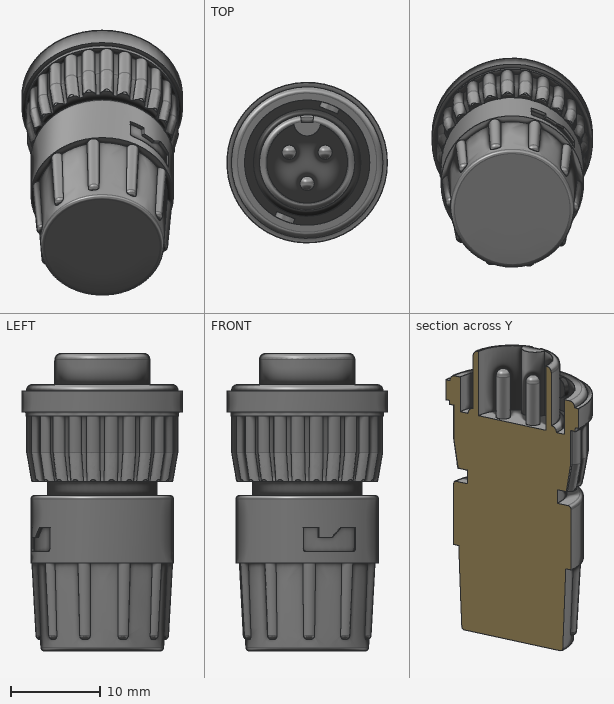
import cadquery as cq
import math

total_height = 33.4
overlap = 0.3

grip_top = 9.85
grip_bottom_radius = 6.88
grip_top_radius = 7.3
grip_bottom_fillet = 0.4
grip_rib_count = 10
grip_rib_first_angle = -88.2
grip_rib_top_axis_radius = 7.17
grip_rib_top_radius = 0.73
grip_rib_bottom_axis_radius = 6.8
grip_rib_bottom_radius = 0.62
grip_rib_bottom = 1.27
grip_rib_end_fillet = 0.48

sleeve_top = 17.45
sleeve_radius = 8.0
sleeve_top_fillet = 0.4
mark_angles = (-70.2, 109.8)
mark_width = 6.2
mark_bottom = 11.15
mark_top = 13.85
mark_depth = 0.35
mark_tab_bottom = 12.73
mark_left_land = 1.7
mark_tab_bottom_width = 1.5
mark_tab_top_width = 2.6
mark_corner_fillet = 0.35

neck_radius = 6.15

ring_bottom = 19.0
knurl_taper_top = 22.3
knurl_top = 26.35
flange_bottom = 26.8
flange_top = 29.2
ring_top = 29.9
flange_radius = 9.015
collar_radius = 8.6
ring_lip_radius = 8.5
ring_top_fillet = 0.69
ring_bore_radius = 7.03
ring_bore_floor = 25.8
knurl_count = 24
knurl_lobe_radius = 0.78
knurl_outer_radius = 8.55
knurl_bottom_outer_radius = 7.97
knurl_root_radius = 7.95
knurl_end_chamfer_width = 0.08
knurl_end_chamfer_height = 0.25

lug_angles = (68.0, 248.0)
lug_radius = 1.1
lug_center_z = 28.7
lug_inner_distance = 6.36

plug_radius = 5.35
plug_bore_radius = 4.53
plug_top_fillet = 0.7
shoulder_radius = 6.03
insert_face_z = ring_bore_floor

key_radius = 1.5
key_center_y = 4.5
key_top = total_height
notch_floor = 32.7
notch_half_angle = 8.0
notch_lip_fillet = 0.24

pin_angles = (30.0, 150.0, 270.0)
pin_circle_radius = 2.33
pin_radius = 0.8
pin_tip_center_z = 30.7


def disc(radius, z_bottom, z_top):
    """Upright cylinder on the part axis."""
    return cq.Workplane("XY").workplane(offset=z_bottom).circle(radius).extrude(z_top - z_bottom)


def frustum(bottom_radius, top_radius, z_bottom, z_top):
    """Cone frustum on the part axis."""
    profile = [(0, z_bottom), (bottom_radius, z_bottom), (top_radius, z_top), (0, z_top)]
    return cq.Workplane("XZ").polyline(profile).close().revolve(360, (0, 0), (0, 1))


def leaning_rod(low, high):
    """Rod on the +X side between two horizontal circles, each (axis radius, rod radius, z).

    It is lofted on the -X side and turned over, so that its seam faces the part axis.
    """
    low_axis, low_radius, low_z = low
    high_axis, high_radius, high_z = high
    rod = (
        cq.Workplane("XY", origin=(-low_axis, 0, low_z)).circle(low_radius)
        .workplane(offset=high_z - low_z).center(low_axis - high_axis, 0).circle(high_radius)
        .loft(ruled=True)
    )
    return turned(rod, 180)


def turned(shape, angle):
    """Shape rotated about the part axis."""
    return shape.rotate((0, 0, 0), (0, 0, 1), angle)


def make_grip():
    grip = frustum(grip_bottom_radius, grip_top_radius, 0, grip_top)
    grip = grip.faces("<Z").edges().fillet(grip_bottom_fillet)
    rib = leaning_rod(
        (grip_rib_bottom_axis_radius, grip_rib_bottom_radius, grip_rib_bottom),
        (grip_rib_top_axis_radius, grip_rib_top_radius, grip_top),
    )
    rib = rib.faces("<Z").edges().fillet(grip_rib_end_fillet)
    for index in range(grip_rib_count):
        grip = grip.union(turned(rib, grip_rib_first_angle + index * 360 / grip_rib_count))
    return grip


def make_mark_cutter():
    """Recess tool for a mark facing -Y: a rectangle with a half-dovetail tab hanging from its top."""
    left = -mark_width / 2
    right = mark_width / 2
    tab_left = left + mark_left_land
    outline = [
        (left, mark_bottom),
        (right, mark_bottom),
        (right, mark_top),
        (tab_left + mark_tab_top_width, mark_top),
        (tab_left + mark_tab_bottom_width, mark_tab_bottom),
        (tab_left, mark_tab_bottom),
        (tab_left, mark_top),
        (left, mark_top),
    ]
    block = cq.Workplane("XZ").polyline(outline).close().extrude(sleeve_radius + overlap)
    lower_corners = cq.selectors.BoxSelector(
        (left - overlap, -2 * sleeve_radius, mark_bottom - overlap),
        (right + overlap, 0, mark_bottom + overlap),
    )
    block = block.edges("|Y").edges(lower_corners).fillet(mark_corner_fillet)
    return block.cut(disc(sleeve_radius - mark_depth, mark_bottom - overlap, mark_top + overlap))


def make_sleeve():
    sleeve = disc(sleeve_radius, grip_top, sleeve_top).faces(">Z").edges().fillet(sleeve_top_fillet)
    cutter = make_mark_cutter()
    facing_angle = -90
    for angle in mark_angles:
        sleeve = sleeve.cut(turned(cutter, angle - facing_angle))
    return sleeve


def make_knurl():
    taper = knurl_outer_radius - knurl_bottom_outer_radius
    lobe_axis = knurl_outer_radius - knurl_lobe_radius
    knurl = disc(knurl_root_radius, knurl_taper_top, knurl_top)
    knurl = knurl.union(frustum(knurl_root_radius - taper, knurl_root_radius, ring_bottom, knurl_taper_top))
    straight = leaning_rod(
        (lobe_axis, knurl_lobe_radius, knurl_taper_top),
        (lobe_axis, knurl_lobe_radius, knurl_top),
    )
    sloped = leaning_rod(
        (lobe_axis - taper, knurl_lobe_radius, ring_bottom),
        (lobe_axis, knurl_lobe_radius, knurl_taper_top),
    )
    lobe = straight.union(sloped)
    pitch = 360 / knurl_count
    for index in range(knurl_count):
        knurl = knurl.union(turned(lobe, (index + 0.5) * pitch))
    return knurl.cut(make_knurl_end_trim())


def make_knurl_end_trim():
    """Collar that trims a steep little chamfer on the lower tips of the knurl lobes."""
    chamfer_top = ring_bottom + knurl_end_chamfer_height
    kept_bottom_radius = knurl_bottom_outer_radius - knurl_end_chamfer_width
    slope = (knurl_outer_radius - knurl_bottom_outer_radius) / (knurl_taper_top - ring_bottom)
    kept_top_radius = knurl_bottom_outer_radius + slope * knurl_end_chamfer_height
    kept = frustum(kept_bottom_radius, kept_top_radius, ring_bottom, chamfer_top)
    return disc(flange_radius, ring_bottom, chamfer_top).cut(kept)


def make_ring():
    ring = make_knurl()
    ring = ring.union(frustum(knurl_outer_radius, collar_radius, knurl_top, flange_bottom))
    ring = ring.union(disc(flange_radius, flange_bottom, flange_top))
    lip = disc(ring_lip_radius, flange_top, ring_top).faces(">Z").edges().fillet(ring_top_fillet)
    ring = ring.union(lip)
    return ring.cut(disc(ring_bore_radius, ring_bore_floor, ring_top))


def make_lug():
    """Round bayonet lug growing radially inward from the ring bore, on the +X side."""
    length = ring_bore_radius + overlap - lug_inner_distance
    return (
        cq.Workplane("YZ", origin=(lug_inner_distance, 0, lug_center_z))
        .circle(lug_radius).extrude(length)
    )


def make_key():
    """Polarising key trimmed to the bore, so that the rim notch behind it stays open."""
    key = (
        cq.Workplane("XY", origin=(0, key_center_y, insert_face_z))
        .circle(key_radius).extrude(key_top - insert_face_z)
    )
    return key.intersect(disc(plug_bore_radius, insert_face_z, key_top))


def make_notch_cutter():
    """Wedge through the plug wall on the +Y side; its flanks are radial and its floor has a rounded lip."""
    reach = plug_radius + overlap
    half_width = reach * math.tan(math.radians(notch_half_angle))
    wedge_bottom = notch_floor - notch_lip_fillet
    wedge = (
        cq.Workplane("XY").workplane(offset=wedge_bottom)
        .polyline([(0, 0), (half_width, reach), (-half_width, reach)]).close()
        .extrude(total_height - wedge_bottom)
    )
    wall_below = disc(plug_radius, insert_face_z, notch_floor).faces(">Z").edges().fillet(notch_lip_fillet)
    return wedge.cut(wall_below)


def make_pin(angle):
    x = pin_circle_radius * math.cos(math.radians(angle))
    y = pin_circle_radius * math.sin(math.radians(angle))
    base_z = insert_face_z - overlap
    shank = cq.Workplane("XY", origin=(x, y, base_z)).circle(pin_radius).extrude(pin_tip_center_z - base_z)
    tip = cq.Workplane("XY", origin=(x, y, pin_tip_center_z)).sphere(pin_radius)
    return shank.union(tip)


def make_plug():
    shoulder_height = shoulder_radius - plug_radius
    shoulder = (
        cq.Workplane("XZ")
        .moveTo(0, ring_bore_floor)
        .lineTo(shoulder_radius, ring_bore_floor)
        .radiusArc((plug_radius, ring_bore_floor + shoulder_height), -shoulder_height)
        .lineTo(0, ring_bore_floor + shoulder_height)
        .close().revolve(360, (0, 0), (0, 1))
    )
    plug = disc(plug_radius, ring_bore_floor, total_height).faces(">Z").edges().fillet(plug_top_fillet)
    plug = plug.union(shoulder)
    plug = plug.cut(disc(plug_bore_radius, insert_face_z, total_height))
    plug = plug.cut(make_notch_cutter())
    return plug


result = make_grip().union(make_sleeve())
result = result.union(disc(neck_radius, sleeve_top, ring_bottom))
result = result.union(make_ring())
result = result.union(make_plug())
for lug_angle in lug_angles:
    result = result.union(turned(make_lug(), lug_angle))
result = result.union(make_key())
for pin_angle in pin_angles:
    result = result.union(make_pin(pin_angle))